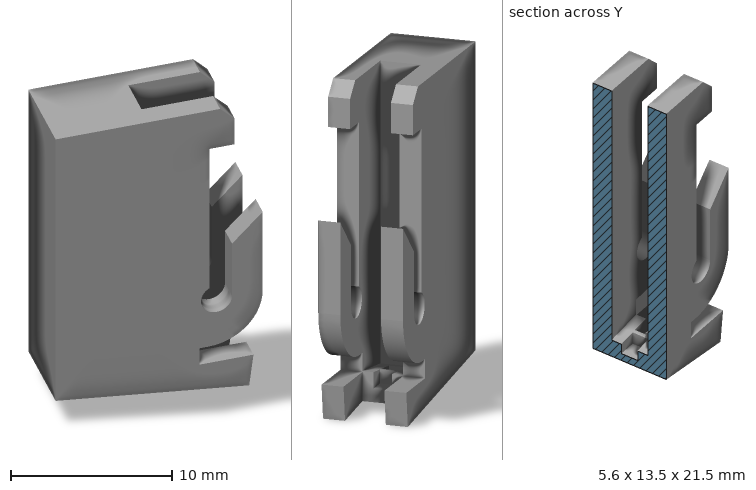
import cadquery as cq
import math

width = 5.6
height = 21.5
bottom_slope = math.tan(math.radians(7.0))

wall_y = 10.05
lip_y = 11.67
lip_bottom_z = 18.6
lip_chamfer = 0.95

hook_y = 13.5
hook_thickness = 2.0
hook_tip_z = 13.05
hook_center_z = 7.07
hook_radius = 3.55
hook_center_y = hook_y - hook_radius
hook_inner_y = hook_y - hook_thickness
relief_radius = 1.0
relief_center_y = hook_inner_y - relief_radius

foot_corner_y = 12.62
foot_top_z = 2.28
foot_gap_y = 9.4
foot_top_y = foot_corner_y + foot_top_z * bottom_slope
front_bottom_z = foot_corner_y * bottom_slope

channel_width = 2.69
channel_front_y = 6.06
channel_front_z = 1.94
channel_back_z = channel_front_z + (foot_gap_y - channel_front_y) * bottom_slope

pocket_width = 1.2
pocket_bottom_z = 1.3
pocket_spans = [(6.58, 7.95), (8.21, foot_gap_y)]


def extrude_across(profile, across):
    """Extrude a closed YZ profile symmetrically about the middle plane."""
    return profile.close().extrude(across / 2, both=True)


def make_body():
    relief_meet_z = hook_center_z + math.sqrt(relief_radius**2 - (wall_y - relief_center_y) ** 2)
    diagonal = math.sqrt(0.5)
    profile = (
        cq.Workplane("YZ")
        .moveTo(0, front_bottom_z)
        .lineTo(0, height)
        .lineTo(lip_y - lip_chamfer, height)
        .lineTo(lip_y, height - lip_chamfer)
        .lineTo(lip_y, lip_bottom_z)
        .lineTo(wall_y, lip_bottom_z)
        .lineTo(wall_y, relief_meet_z)
        .threePointArc((relief_center_y, hook_center_z - relief_radius), (hook_inner_y, hook_center_z))
        .lineTo(hook_inner_y, hook_tip_z - hook_thickness)
        .lineTo(hook_y, hook_tip_z)
        .lineTo(hook_y, hook_center_z)
        .threePointArc(
            (hook_center_y + hook_radius * diagonal, hook_center_z - hook_radius * diagonal),
            (hook_center_y, hook_center_z - hook_radius),
        )
        .lineTo(foot_gap_y, hook_center_z - hook_radius)
        .lineTo(foot_gap_y, foot_top_z)
        .lineTo(foot_top_y, foot_top_z)
        .lineTo(foot_corner_y, 0)
    )
    return extrude_across(profile, width)


def make_channel():
    """Open channel that also splits the hook and foot into two arms."""
    profile = (
        cq.Workplane("YZ")
        .moveTo(channel_front_y, height)
        .lineTo(channel_front_y, channel_front_z)
        .lineTo(foot_gap_y, channel_back_z)
        .lineTo(foot_gap_y, 0)
        .lineTo(hook_y, 0)
        .lineTo(hook_y, height)
    )
    return extrude_across(profile, channel_width)


def make_pocket(front_y, back_y):
    profile = (
        cq.Workplane("YZ")
        .moveTo(front_y, pocket_bottom_z)
        .lineTo(back_y, pocket_bottom_z)
        .lineTo(back_y, height)
        .lineTo(front_y, height)
    )
    return extrude_across(profile, pocket_width)


result = make_body().cut(make_channel())
for front_y, back_y in pocket_spans:
    result = result.cut(make_pocket(front_y, back_y))